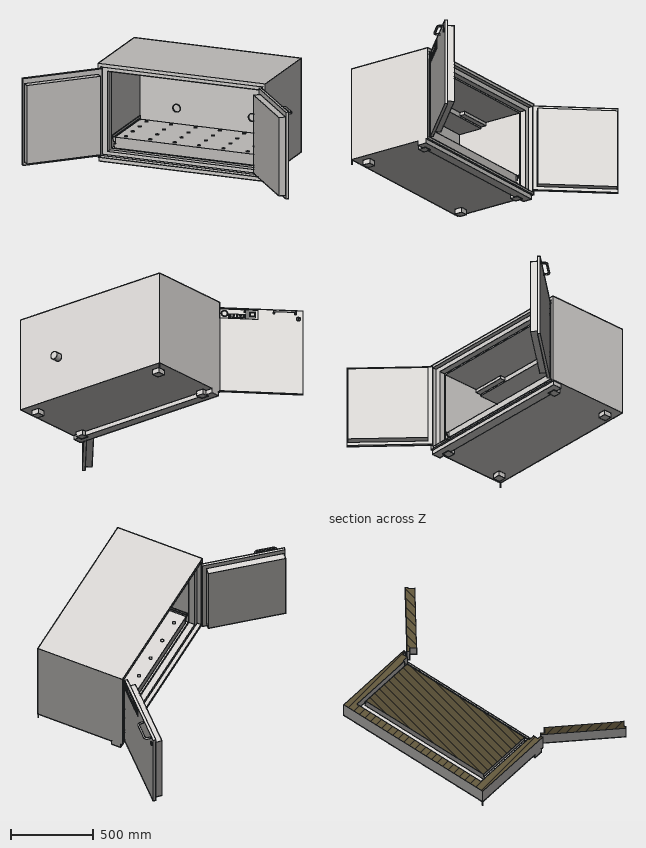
import cadquery as cq
CABINET_WIDTH = 1103.0
CABINET_DEPTH = 575.0
CABINET_TOP = 631.0
CABINET_BOTTOM = 32.0

RIM_WIDTH = 1068.0
RIM_BOTTOM = 46.0
RIM_TOP = 610.0
RIM_DEPTH = 27.0
THROAT_WIDTH = 999.0
THROAT_BOTTOM = 67.0
THROAT_TOP = 578.0
THROAT_DEPTH = 39.0
CHAMBER_WIDTH = 981.0
CHAMBER_BOTTOM = 78.0
CHAMBER_TOP = 567.0
BACK_WALL = 58.0
CHAMBER_FRONT = RIM_DEPTH + THROAT_DEPTH
CHAMBER_BACK = CABINET_DEPTH - BACK_WALL

DUCT_BOTTOM = 535.0
DUCT_DEPTH = 163.0
CORNER_BLOCK_BOTTOM = 546.0
CORNER_BLOCK_DEPTH = 35.0
CORNER_BLOCK_INNER_X = 270.0

RAIL_TOP = 157.0
RAIL_HEIGHT = 18.0
RAIL_THICKNESS = 4.0

PORT_DIAMETER = 50.0
PORT_DEPTH = 9.0
PORT_X = 250.0
PORT_Z = 232.0
PIPE_Z = 295.0
PIPE_LENGTH = 45.0

PLINTH_WIDTH = 1096.0
PLINTH_FRONT = 12.0
PLINTH_DEPTH = 62.0
PLINTH_BOTTOM = 4.0
FOOT_SIZE = 51.0
FOOT_X = 477.0
FOOT_INSET = 78.0
PIN_DIAMETER = 5.0

SHELF_TOP = 150.0
SHELF_WIDTH = 967.0
SHELF_FRONT = 69.0
SHELF_BACK = 468.0
SHELF_TAPER = 9.0
SIDE_GAP_WIDTH = 16.0
SIDE_GAP_DEPTH = 45.0
FRONT_LIP = 4.0
DIMPLE_DIAMETER = 20.0
DIMPLE_DEPTH = 2.0
DIMPLE_PITCH_X = 160.0
DIMPLE_PITCH_Y = 110.0
DIMPLE_COLUMNS = 6
DIMPLE_ROWS = 4
DIMPLE_CENTRE_X = -12.0
DIMPLE_CENTRE_Y = 278.0

PLATE_LENGTH = 522.0
PLATE_THICKNESS = 18.0
PLATE_BOTTOM = 51.0
PLATE_TOP = 605.0
BLOCK_START = 27.0
BLOCK_END = 515.0
BLOCK_THICKNESS = 32.0
BLOCK_BOTTOM = 72.0
BLOCK_TOP = 573.0
SEAL_THICKNESS = 10.0
HINGE_X = 530.0
HINGE_GAP = 5.0
LEFT_DOOR_ANGLE = 45.6
RIGHT_DOOR_ANGLE = 49.0

HANDLE_DIAMETER = 10.0
HANDLE_START = 343.0
HANDLE_END = 475.0
HANDLE_REACH = 35.0
HANDLE_BEND = 18.0
HANDLE_Z = 582.0

PANEL_START = 9.0
PANEL_END = 245.0
PANEL_BOTTOM = 535.0
PANEL_TOP = 595.0
PANEL_THICKNESS = 2.0
RELIEF = 0.9
DIAL_DIAMETERS = (40.0, 34.0)
DIAL_POSITION = 40.0
SWITCH_POSITION = 212.0
SWITCH_LENGTH = 39.0
SWITCH_HEIGHT = 34.0
SWITCH_BORDER = 7.0
DIVIDER_POSITION = 179.0
DIVIDER_WIDTH = 10.0
LAMP_DIAMETER = 10.0
LAMP_POSITION = 165.0
LAMP_Z = 582.0
BUTTON_COUNT = 5
BUTTON_DIAMETER = 10.0
KEYPAD_START = 65.0
KEYPAD_END = 170.0
KEYPAD_BOTTOM = 543.0
KEYPAD_TOP = 564.0

LOCK_DIAMETER = 25.0
LOCK_POSITION = 493.0
LOCK_Z = 548.0
LOCK_PROUD = 4.0
KEY_SLOT_WIDTH = 5.0
KEY_SLOT_LENGTH = 20.0


def box(x0, x1, y0, y1, z0, z1):
    return cq.Workplane("XY").box(x1 - x0, y1 - y0, z1 - z0, centered=False).translate((x0, y0, z0))


def centred_box(width, y0, y1, z0, z1):
    return box(-width / 2, width / 2, y0, y1, z0, z1)


def cylinder_along_y(diameter, x, y0, y1, z):
    bar = cq.Workplane("XZ").circle(diameter / 2).extrude(y0 - y1)
    return bar.translate((x, y0, z))


def make_cabinet():
    body = centred_box(CABINET_WIDTH, 0, CABINET_DEPTH, CABINET_BOTTOM, CABINET_TOP)
    body = body.cut(centred_box(RIM_WIDTH, 0, RIM_DEPTH, RIM_BOTTOM, RIM_TOP))
    body = body.cut(centred_box(THROAT_WIDTH, 0, CHAMBER_FRONT, THROAT_BOTTOM, THROAT_TOP))
    body = body.cut(centred_box(CHAMBER_WIDTH, 0, CHAMBER_BACK, CHAMBER_BOTTOM, CHAMBER_TOP))

    duct_front = CHAMBER_BACK - DUCT_DEPTH
    body = body.union(centred_box(CHAMBER_WIDTH, duct_front, CHAMBER_BACK, DUCT_BOTTOM, CHAMBER_TOP))
    corner_blocks = centred_box(
        CHAMBER_WIDTH, duct_front - CORNER_BLOCK_DEPTH, duct_front, CORNER_BLOCK_BOTTOM, CHAMBER_TOP
    ).cut(centred_box(2 * CORNER_BLOCK_INNER_X, 0, duct_front, CORNER_BLOCK_BOTTOM, CHAMBER_TOP))
    body = body.union(corner_blocks)

    rails = centred_box(CHAMBER_WIDTH, SHELF_FRONT, CHAMBER_BACK, RAIL_TOP - RAIL_HEIGHT, RAIL_TOP)
    between_rails = CHAMBER_WIDTH - 2 * RAIL_THICKNESS
    rails = rails.cut(centred_box(between_rails, 0, CHAMBER_BACK, 0, RAIL_TOP))
    body = body.union(rails)

    for x in (-PORT_X, PORT_X):
        body = body.cut(
            cylinder_along_y(PORT_DIAMETER, x, CHAMBER_BACK, CHAMBER_BACK + PORT_DEPTH, PORT_Z)
        )
    pipe_end = CABINET_DEPTH + PIPE_LENGTH
    body = body.union(cylinder_along_y(PORT_DIAMETER, PORT_X, CABINET_DEPTH, pipe_end, PIPE_Z))

    plinth_left = -CABINET_WIDTH / 2
    plinth_back = PLINTH_FRONT + PLINTH_DEPTH
    body = body.union(
        box(plinth_left, plinth_left + PLINTH_WIDTH, PLINTH_FRONT, plinth_back, PLINTH_BOTTOM, CABINET_BOTTOM)
    )
    for x in (-FOOT_X, FOOT_X):
        for y in (FOOT_INSET, CABINET_DEPTH - FOOT_INSET):
            foot = cq.Workplane("XY").rect(FOOT_SIZE, FOOT_SIZE).extrude(CABINET_BOTTOM)
            body = body.union(foot.translate((x, y, 0)))
    pin = cq.Workplane("XY").circle(PIN_DIAMETER / 2).extrude(CABINET_BOTTOM)
    pin_centre = ((PIN_DIAMETER - CABINET_WIDTH) / 2, CABINET_DEPTH - PIN_DIAMETER / 2, 0)
    return body.union(pin.translate(pin_centre))


def make_shelf():
    depth = SHELF_BACK - SHELF_FRONT
    height = SHELF_TOP - CHAMBER_BOTTOM
    shelf = (
        cq.Workplane("XY")
        .rect(SHELF_WIDTH, depth)
        .workplane(offset=-height)
        .rect(SHELF_WIDTH - 2 * SHELF_TAPER, depth - 2 * SHELF_TAPER)
        .loft(ruled=True)
    )
    gap_x = (SHELF_WIDTH - SIDE_GAP_WIDTH) / 2
    side_gaps = (
        cq.Workplane("XY")
        .pushPoints([(-gap_x, FRONT_LIP), (gap_x, FRONT_LIP)])
        .rect(SIDE_GAP_WIDTH, depth)
        .extrude(-SIDE_GAP_DEPTH)
    )
    middle_y = (SHELF_FRONT + SHELF_BACK) / 2
    dimples = (
        cq.Workplane("XY", origin=(DIMPLE_CENTRE_X, DIMPLE_CENTRE_Y - middle_y, 0))
        .rarray(DIMPLE_PITCH_X, DIMPLE_PITCH_Y, DIMPLE_COLUMNS, DIMPLE_ROWS)
        .circle(DIMPLE_DIAMETER / 2)
        .extrude(-DIMPLE_DEPTH)
    )
    return shelf.cut(side_gaps).cut(dimples).translate((0, middle_y, SHELF_TOP))


def make_door():
    plate = box(0, PLATE_LENGTH, 0, PLATE_THICKNESS, PLATE_BOTTOM, PLATE_TOP)
    block_back = PLATE_THICKNESS + BLOCK_THICKNESS
    block = box(BLOCK_START, BLOCK_END, PLATE_THICKNESS, block_back, BLOCK_BOTTOM, BLOCK_TOP)
    seal = box(BLOCK_START, BLOCK_END, block_back, block_back + SEAL_THICKNESS, BLOCK_BOTTOM, BLOCK_TOP)
    return plate.union(block).union(seal, clean=False)


def make_handle():
    radius = HANDLE_BEND
    path = (
        cq.Workplane("XY")
        .moveTo(HANDLE_START, 0)
        .lineTo(HANDLE_START, radius - HANDLE_REACH)
        .radiusArc((HANDLE_START + radius, -HANDLE_REACH), -radius)
        .lineTo(HANDLE_END - radius, -HANDLE_REACH)
        .radiusArc((HANDLE_END, radius - HANDLE_REACH), -radius)
        .lineTo(HANDLE_END, 0)
    )
    bar = cq.Workplane("XZ", origin=(HANDLE_START, 0, 0)).circle(HANDLE_DIAMETER / 2).sweep(path)
    return bar.translate((0, 0, HANDLE_Z))


def make_control_panel():
    face = -PANEL_THICKNESS
    middle_z = (PANEL_BOTTOM + PANEL_TOP) / 2
    panel = box(PANEL_START, PANEL_END, face, 0, PANEL_BOTTOM, PANEL_TOP)
    for step, diameter in enumerate(DIAL_DIAMETERS):
        front = face - RELIEF * (step + 1)
        panel = panel.union(cylinder_along_y(diameter, DIAL_POSITION, front, face, middle_z))

    raised = face - RELIEF
    switch = cq.Workplane("XY").box(SWITCH_LENGTH, RELIEF, SWITCH_HEIGHT)
    rocker = cq.Workplane("XY").box(
        SWITCH_LENGTH - 2 * SWITCH_BORDER, RELIEF, SWITCH_HEIGHT - 2 * SWITCH_BORDER
    )
    panel = panel.union(switch.translate((SWITCH_POSITION, face - RELIEF / 2, middle_z)))
    panel = panel.union(rocker.translate((SWITCH_POSITION, raised - RELIEF / 2, middle_z)))

    divider_start = DIVIDER_POSITION - DIVIDER_WIDTH / 2
    divider_end = DIVIDER_POSITION + DIVIDER_WIDTH / 2
    panel = panel.union(box(divider_start, divider_end, raised, face, PANEL_BOTTOM, PANEL_TOP))
    panel = panel.union(cylinder_along_y(LAMP_DIAMETER, LAMP_POSITION, raised, face, LAMP_Z))

    panel = panel.union(box(KEYPAD_START, KEYPAD_END, raised, face, KEYPAD_BOTTOM, KEYPAD_TOP))
    button_pitch = (KEYPAD_END - KEYPAD_START) / BUTTON_COUNT
    button_z = (KEYPAD_BOTTOM + KEYPAD_TOP) / 2
    for index in range(BUTTON_COUNT):
        x = KEYPAD_START + button_pitch * (index + 0.5)
        panel = panel.union(cylinder_along_y(BUTTON_DIAMETER, x, raised - RELIEF, raised, button_z))
    return panel


def make_lock():
    lock = cylinder_along_y(LOCK_DIAMETER, LOCK_POSITION, -LOCK_PROUD, 0, LOCK_Z)
    slot = cq.Workplane("XY").box(KEY_SLOT_WIDTH, LOCK_PROUD, KEY_SLOT_LENGTH)
    return lock.cut(slot.translate((LOCK_POSITION, -LOCK_PROUD, LOCK_Z)))


def hang_left(part):
    opened = part.rotate((0, 0, 0), (0, 0, 1), -(180 - LEFT_DOOR_ANGLE))
    return opened.translate((-HINGE_X, -HINGE_GAP, 0))


def hang_right(part):
    opened = part.mirror("YZ").rotate((0, 0, 0), (0, 0, 1), 180 - RIGHT_DOOR_ANGLE)
    return opened.translate((HINGE_X, -HINGE_GAP, 0))


cabinet = make_cabinet()
shelf = make_shelf()
doors = [hang(make_door()) for hang in (hang_left, hang_right)]
handles = [hang(make_handle()) for hang in (hang_left, hang_right)]
control_panel = hang_left(make_control_panel())
lock = hang_left(make_lock())

bodies = [cabinet, shelf, *doors, *handles, control_panel, lock]
result = cq.Compound.makeCompound([body.val() for body in bodies])